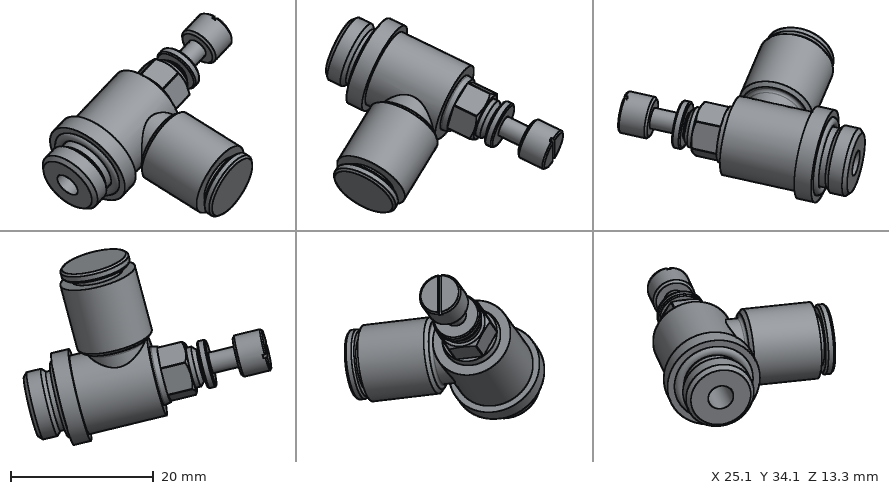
import cadquery as cq
import math


THREAD_R = 4.88
THREAD_NECK_R = 4.3
THREAD_CHAMFER = THREAD_R - THREAD_NECK_R
THREAD_TOP_Y = 2.63
THREAD_BORE_R = 1.8
THREAD_BORE_DEPTH = 6.82

SEAL_SECTION_R = 0.68
SEAL_CENTRE_R = THREAD_NECK_R + SEAL_SECTION_R
SEAL_CENTRE_Y = 4.67

FLANGE_R = 6.65
FLANGE_BASE_Y = 4.57
FLANGE_TOP_Y = 7.05
BODY_R = 5.7
BODY_TOP_Y = 18.25

COLLAR_BASE_R = 4.23
COLLAR_FOOT_HEIGHT = 0.2
COLLAR_TOP_Y = 19.25

HEX_FLATS = 7.02
HEX_TOP_Y = 23.2
HEX_SHARP_R = HEX_FLATS / math.sqrt(3)
HEX_CORNER_R = 4.02
HEX_TOP_R = 3.4
HEX_CHAMFER_ANGLE = 30.0

BUSH_R = 2.9
BUSH_TOP_R = 2.3
BUSH_SIDE_TOP_Y = 23.9
BUSH_TOP_Y = 24.52

DISC_NECK_R = 1.9
DISC_R = 3.4
DISC_CHAMFER = 0.2
DISC_BASE_Y = 24.82
DISC_TOP_Y = 26.05

STEM_R = 1.5
KNOB_R = 3.0
KNOB_BASE_Y = 29.85
KNOB_TOP_Y = 34.1
KNOB_BASE_CHAMFER = 0.35
KNOB_TOP_CHAMFER = 0.25
SLOT_WIDTH = 0.5
SLOT_DEPTH = 0.55

BRANCH_Y = 13.8
BRANCH_NECK_R = 4.2
BRANCH_FILLET_R = 0.4
SLEEVE_R = 5.42
SLEEVE_CHAMFER = 0.55
SLEEVE_START_X = 6.17
SLEEVE_END_X = 16.37
RELEASE_NECK_R = 3.65
RELEASE_R = 4.95
RELEASE_CHAMFER = 0.3
RELEASE_START_X = 17.15
RELEASE_END_X = 18.5


def cylinder_y(radius, start, end):
    """Cylinder on the main axis between two Y positions."""
    plane = cq.Plane(origin=(0, start, 0), xDir=(1, 0, 0), normal=(0, 1, 0))
    return cq.Workplane(plane).circle(radius).extrude(end - start)


def cylinder_x(radius, start, end):
    """Cylinder on the branch axis between two X positions."""
    plane = cq.Plane(origin=(start, BRANCH_Y, 0), xDir=(0, 1, 0), normal=(1, 0, 0))
    return cq.Workplane(plane).circle(radius).extrude(end - start)


def revolve_y(points):
    """Solid of revolution about Y from (radius, y) points, closed along the axis."""
    start_y = points[0][1]
    end_y = points[-1][1]
    profile = cq.Workplane("XY").polyline([(0, start_y), *points, (0, end_y)]).close()
    return profile.revolve(360, (0, 0, 0), (0, 1, 0))


def make_threaded_end():
    return revolve_y([
        (THREAD_R - THREAD_CHAMFER, 0),
        (THREAD_R, THREAD_CHAMFER),
        (THREAD_R, THREAD_TOP_Y),
        (THREAD_NECK_R, THREAD_TOP_Y + THREAD_CHAMFER),
        (THREAD_NECK_R, FLANGE_BASE_Y),
    ])


def make_seal():
    section = cq.Workplane("XY").center(SEAL_CENTRE_R, SEAL_CENTRE_Y).circle(SEAL_SECTION_R)
    return section.revolve(360, (-SEAL_CENTRE_R, 0, 0), (-SEAL_CENTRE_R, 1, 0))


def make_body():
    flange = cylinder_y(FLANGE_R, FLANGE_BASE_Y, FLANGE_TOP_Y)
    barrel = cylinder_y(BODY_R, FLANGE_TOP_Y, BODY_TOP_Y)
    collar = revolve_y([
        (COLLAR_BASE_R, BODY_TOP_Y),
        (COLLAR_BASE_R, BODY_TOP_Y + COLLAR_FOOT_HEIGHT),
        (HEX_CORNER_R, COLLAR_TOP_Y),
    ])
    return flange.union(barrel).union(collar)


def make_hex_nut():
    """Hexagon with two corners on the X axis, rounded corners and a conical top chamfer."""
    plane = cq.Plane(origin=(0, COLLAR_TOP_Y, 0), xDir=(1, 0, 0), normal=(0, 1, 0))
    prism = cq.Workplane(plane).polygon(6, 2 * HEX_SHARP_R).extrude(HEX_TOP_Y - COLLAR_TOP_Y)
    chamfer_drop = (HEX_CORNER_R - HEX_TOP_R) * math.tan(math.radians(HEX_CHAMFER_ANGLE))
    envelope = revolve_y([
        (HEX_CORNER_R, COLLAR_TOP_Y),
        (HEX_CORNER_R, HEX_TOP_Y - chamfer_drop),
        (HEX_TOP_R, HEX_TOP_Y),
    ])
    return prism.intersect(envelope)


def make_bushing_and_disc():
    bushing = revolve_y([
        (BUSH_R, HEX_TOP_Y),
        (BUSH_R, BUSH_SIDE_TOP_Y),
        (BUSH_TOP_R, BUSH_TOP_Y),
    ])
    neck = cylinder_y(DISC_NECK_R, BUSH_TOP_Y, DISC_BASE_Y)
    disc = cylinder_y(DISC_R, DISC_BASE_Y, DISC_TOP_Y).edges().chamfer(DISC_CHAMFER)
    return bushing.union(neck).union(disc)


def make_knob():
    stem = cylinder_y(STEM_R, DISC_TOP_Y, KNOB_BASE_Y)
    knob = cylinder_y(KNOB_R, KNOB_BASE_Y, KNOB_TOP_Y)
    knob = knob.edges("<Y").chamfer(KNOB_BASE_CHAMFER)
    knob = knob.edges(">Y").chamfer(KNOB_TOP_CHAMFER)
    slot = cq.Workplane("XY").box(SLOT_WIDTH, 2 * SLOT_DEPTH, 2 * KNOB_R)
    return stem.union(knob.cut(slot.translate((0, KNOB_TOP_Y, 0))))


def make_branch():
    """Tube connector: neck flaring into the sleeve, then the release ring."""
    sleeve = cylinder_x(SLEEVE_R, SLEEVE_START_X, SLEEVE_END_X)
    sleeve = sleeve.edges("<X").chamfer(SLEEVE_CHAMFER)
    branch = cylinder_x(BRANCH_NECK_R, 0, SLEEVE_START_X).union(sleeve)
    neck_corner = branch.faces("%PLANE").faces("<X[1]").edges(cq.selectors.RadiusNthSelector(0))
    branch = neck_corner.fillet(BRANCH_FILLET_R)
    release_neck = cylinder_x(RELEASE_NECK_R, SLEEVE_END_X, RELEASE_START_X)
    release_ring = cylinder_x(RELEASE_R, RELEASE_START_X, RELEASE_END_X).edges().chamfer(RELEASE_CHAMFER)
    return branch.union(release_neck).union(release_ring)


result = make_body()
for piece in (
    make_threaded_end(),
    make_seal(),
    make_hex_nut(),
    make_bushing_and_disc(),
    make_knob(),
    make_branch(),
):
    result = result.union(piece)
result = result.cut(cylinder_y(THREAD_BORE_R, 0, THREAD_BORE_DEPTH))